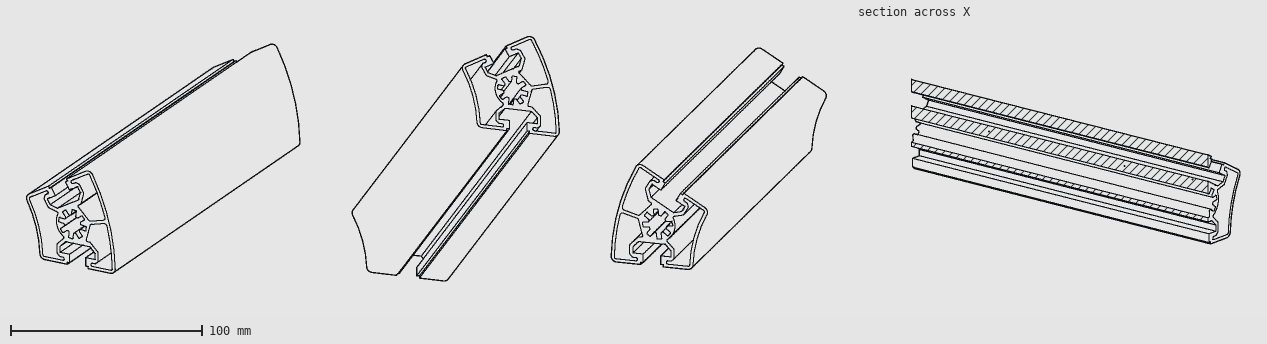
import cadquery as cq
import math

length = 200.0
sector_angle = 30.0
half_angle = sector_angle / 2
face_width = 45.0
outer_radius = 2.5 * face_width
inner_radius = outer_radius - face_width
slot_radius = (outer_radius + inner_radius) / 2
corner_radius = 3.0

wall = 1.8
hollow_corner_radius = 0.8
web_thickness = 1.8
web_root_radius = 1.5

slot_half_opening = 4.8
lip_depth = 6.0
lip_half_width = 8.0
mouth_half_width = 6.2
mouth_depth = 1.2
cavity_half_width = 10.5
cavity_depth = 12.5
cavity_chamfer = 3.2
channel_half_width = 12.2
channel_bottom = 3.5
channel_top = 15.2
channel_chamfer = 4.8
channel_foot_chamfer = 1.5

core_radius = 9.5
bore_radius = 5.0
groove_count = 8
groove_width = 2.5
groove_reach = 8.2
bore_edge_radius = 0.5
gusset_angle = 30.0
gusset_length = 7.2
gusset_distance = 9.8


def polar(radius, angle):
    """Point in the XZ plane at an angle in degrees from the X axis."""
    return radius * math.cos(math.radians(angle)), radius * math.sin(math.radians(angle))


def profile():
    """Sketch plane whose local axes are X and Z, extruded along the length."""
    return cq.Workplane("XZ", origin=(0, length / 2, 0))


def about_pivot(body, angle):
    return body.rotate((0, 0, 0), (0, 1, 0), -angle)


def both_faces(body):
    """Body at the lower face together with its mirror image at the upper face."""
    return body.union(about_pivot(body.mirror("XY"), sector_angle))


def sector(inset):
    """Sector prism with every face set in by the given distance."""
    r_in = inner_radius + inset
    r_out = outer_radius - inset
    in_turn = math.degrees(math.asin(inset / r_in))
    out_turn = math.degrees(math.asin(inset / r_out))
    return (
        profile()
        .moveTo(*polar(r_in, in_turn))
        .lineTo(*polar(r_out, out_turn))
        .threePointArc(polar(r_out, half_angle), polar(r_out, sector_angle - out_turn))
        .lineTo(*polar(r_in, sector_angle - in_turn))
        .threePointArc(polar(r_in, half_angle), polar(r_in, in_turn))
        .close()
        .extrude(length)
    )


def slot_prism(half_outline):
    """Prism symmetric about the slot axis, from (offset, depth) points on one side."""
    right = [(slot_radius + offset, depth) for offset, depth in half_outline]
    left = [(slot_radius - offset, depth) for offset, depth in reversed(half_outline)]
    return profile().polyline(right + left).close().extrude(length)


def slot_channel():
    channel = slot_prism([
        (channel_half_width - channel_foot_chamfer, channel_bottom),
        (channel_half_width, channel_bottom + channel_foot_chamfer),
        (channel_half_width, channel_top - channel_chamfer),
        (channel_half_width - channel_chamfer, channel_top),
    ])
    return channel.union(slot_prism([(lip_half_width, 0), (lip_half_width, lip_depth)]))


def slot_cavity():
    """T-shaped cavity with chamfered inner corners and a stepped mouth."""
    return slot_prism([
        (mouth_half_width, 0),
        (mouth_half_width, mouth_depth),
        (slot_half_opening, mouth_depth),
        (slot_half_opening, lip_depth),
        (cavity_half_width, lip_depth),
        (cavity_half_width, cavity_depth - cavity_chamfer),
        (cavity_half_width - cavity_chamfer, cavity_depth),
    ])


def gusset():
    """Wedge with a flat beside the core, running from the web to the lower slot channel."""
    center_x, center_z = polar(slot_radius, half_angle)
    normal_x, normal_z = polar(1, half_angle - gusset_angle)
    flat_end = (
        center_x + gusset_distance * normal_x + gusset_length * normal_z,
        center_z + gusset_distance * normal_z - gusset_length * normal_x,
    )
    apex = polar(slot_radius + gusset_distance / math.cos(math.radians(gusset_angle)), half_angle)
    channel_point = (center_x, cavity_depth)
    outline = [(center_x, center_z), apex, flat_end, channel_point]
    return profile().polyline(outline).close().extrude(length)


def core():
    return profile().center(*polar(slot_radius, half_angle)).circle(core_radius).extrude(length)


def web():
    """Radial web from the core to the outer wall."""
    span = outer_radius - wall / 2 - slot_radius
    strip = profile().center(slot_radius + span / 2, 0).rect(span, web_thickness).extrude(length)
    return about_pivot(strip, half_angle)


def bore():
    """Round bore with radial grooves, leaving rounded teeth between them."""
    center_x, center_z = polar(slot_radius, half_angle)
    cut = profile().circle(bore_radius).extrude(length)
    spacing = 360 / groove_count
    for index in range(groove_count):
        groove = profile().center(groove_reach / 2, 0).rect(groove_reach, groove_width).extrude(length)
        cut = cut.union(about_pivot(groove, half_angle + (index + 0.5) * spacing))
    return cut.edges("|Y").fillet(bore_edge_radius).translate((center_x, 0, center_z))


def hollows():
    """Chambers between the outer walls, channels, core and web, with rounded corners."""
    chambers = sector(wall)
    chambers = chambers.cut(both_faces(slot_channel())).cut(both_faces(gusset())).cut(core()).cut(web())
    root_x, root_z = polar(outer_radius - wall, half_angle)
    web_roots = cq.selectors.BoxSelector(
        (root_x - web_thickness, -length, root_z - web_thickness),
        (root_x + web_thickness, length, root_z + web_thickness),
    )
    lengthwise = cq.selectors.ParallelDirSelector(cq.Vector(0, 1, 0))
    chambers = chambers.edges(lengthwise - web_roots).fillet(hollow_corner_radius)
    return chambers.edges(lengthwise & web_roots).fillet(web_root_radius)


blank = sector(0).edges("|Y").fillet(corner_radius)
result = blank.cut(hollows()).cut(both_faces(slot_cavity())).cut(bore())